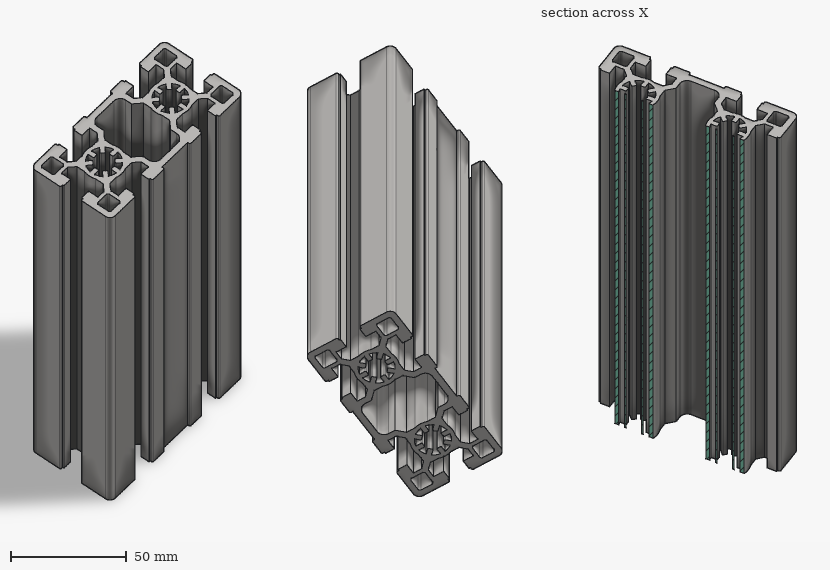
import math
import cadquery as cq

module = 45.0
length = 200.0
core_y = module / 2
half_width = module / 2
half_height = module
outer_radius = 3.0

slot_half_opening = 5.0
lip_thickness = 6.0
mouth_half_width = 6.5
chamber_half_width = 10.2
bulge_radius = 10.0
bulge_half_width = 3.2
chamber_floor = math.sqrt(bulge_radius**2 - bulge_half_width**2)
web_offset = 2.1

step_depth = 1.5
lip_radius = 0.7
side_recess_half_width = 9.5

bore_radius = 8.0
rib_count = 8
rib_width = 2.5
rib_tip_distance = 4.8
rib_edge_radius = 0.5

hollow_size = 7.5
hollow_centre = 15.8
hollow_radius = 1.0

side_wall = 3.2
cavity_half_width = half_width - step_depth - side_wall
cavity_half_height = 9.5
cavity_radius = 3.5


def prism(points):
    return cq.Workplane("XY").polyline(points).close().extrude(length)


def box(width, height, x=0.0, y=0.0):
    return cq.Workplane("XY").center(x, y).rect(width, height).extrude(length)


def cylinder(radius):
    return cq.Workplane("XY").circle(radius).extrude(length)


def mirrored(points):
    """Close a right-hand chain of points with its mirror image across the Y axis."""
    return points + [(-x, y) for x, y in reversed(points)]


def flared_recess(face_half_width):
    """Shallow recess in a face at +Y, widening along rounded edges to its width at that face."""
    floor_half_width = face_half_width - lip_radius
    floor_y = half_width - step_depth
    edge_y = half_width - lip_radius
    return (
        cq.Workplane("XY")
        .moveTo(-floor_half_width, floor_y)
        .lineTo(floor_half_width, floor_y)
        .lineTo(floor_half_width, edge_y)
        .radiusArc((face_half_width, half_width), lip_radius)
        .lineTo(-face_half_width, half_width)
        .radiusArc((-floor_half_width, edge_y), lip_radius)
        .close()
        .extrude(length)
    )


def turned(shape, angle):
    return shape.rotate((0, 0, 0), (0, 0, 1), angle)


def slot():
    """T-slot opening towards +Y from a core at the origin."""
    chamber_top = half_width - lip_thickness
    chamber = prism(mirrored([
        (chamber_floor - web_offset, chamber_floor),
        (chamber_half_width, chamber_half_width + web_offset),
        (chamber_half_width, chamber_top),
    ]))
    mouth = box(2 * slot_half_opening, half_width - chamber_floor, 0, (half_width + chamber_floor) / 2)
    return chamber.union(mouth).cut(cylinder(bulge_radius)).union(flared_recess(mouth_half_width))


def bore():
    """Core bore, with round-edged ribs pointing at its centre."""
    rib_length = bore_radius - rib_tip_distance + rib_width
    rib = box(rib_length, rib_width, rib_tip_distance + rib_length / 2)
    rib = rib.faces("<X").edges("|Z").fillet(rib_edge_radius)
    hole = cylinder(bore_radius)
    for i in range(rib_count):
        hole = hole.cut(turned(rib, i * 360 / rib_count))
    return hole


def corner_hollow(side):
    hollow = box(hollow_size, hollow_size, side * hollow_centre, hollow_centre)
    return hollow.edges("|Z").fillet(hollow_radius)


def cell_cuts():
    """Everything removed around the +Y core, in coordinates centred on that core."""
    cuts = bore()
    for angle in (-90, 0, 90):
        cuts = cuts.union(turned(slot(), angle))
    for side in (-1, 1):
        cuts = cuts.union(corner_hollow(side))
    return cuts


def cavity():
    """Central hollow, reaching into the space between the diagonal webs of both cores."""
    hall = box(2 * cavity_half_width, 2 * cavity_half_height)
    hall = hall.edges("|Z").fillet(cavity_radius)
    neck_y = core_y - chamber_floor
    shoulder_x = core_y - cavity_half_height - web_offset
    neck_x = chamber_floor - web_offset
    neck = prism(mirrored([
        (neck_x, -neck_y),
        (shoulder_x, -cavity_half_height),
        (shoulder_x, cavity_half_height),
        (neck_x, neck_y),
    ]))
    for side in (-1, 1):
        neck = neck.cut(cylinder(bulge_radius).translate((0, side * core_y, 0)))
    return hall.union(neck)


body = box(2 * half_width, 2 * half_height).edges("|Z").fillet(outer_radius)

upper_cuts = cell_cuts().translate((0, core_y, 0))
body = body.cut(upper_cuts).cut(upper_cuts.mirror("XZ"))

for angle in (-90, 90):
    body = body.cut(turned(flared_recess(side_recess_half_width), angle))

result = body.cut(cavity())